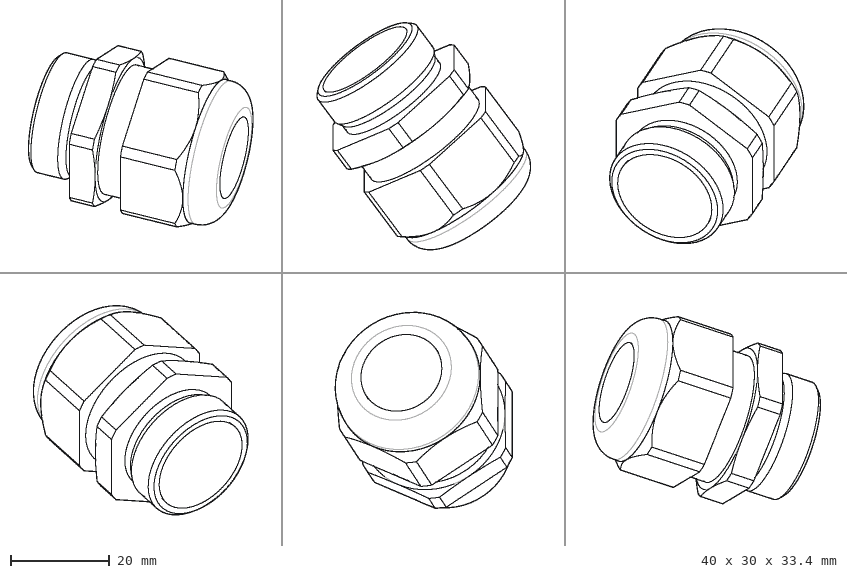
import cadquery as cq
import math


length = 40.0
groove_start = 6.6
groove_floor_start = 8.1
body_nut_start = 10.0
body_nut_end = 15.55
cap_nut_start = 21.0
cap_nut_end = 34.4
dome_start = 35.5

thread_radius = 25.0 / 2
groove_radius = 11.7
neck_radius = 13.5
cap_radius = 14.95
bore_front_radius = 10.35
bore_back_radius = 8.5

across_flats = 30.0
corner_radius = 33.4 / 2
thread_chamfer = 0.85
body_nut_bevel = 0.55
cap_nut_bevel = corner_radius - across_flats / 2

dome_radius = length - dome_start


def revolve_about_x(profile):
    """Turn a closed profile, drawn as (x, radius), about the X axis."""
    return profile.close().revolve(360, (0, 0, 0), (1, 0, 0))


def hex_nut(start, end, bevel):
    """Hexagonal nut with rounded corners and a conical bevel on its +X face."""
    corner_to_corner = across_flats / math.cos(math.pi / 6)
    prism = (
        cq.Workplane("YZ", origin=(start, 0, 0))
        .transformed(rotate=(0, 0, 90))
        .polygon(6, corner_to_corner)
        .extrude(end - start)
    )
    envelope = revolve_about_x(
        cq.Workplane("XZ")
        .moveTo(start, 0)
        .lineTo(start, corner_radius)
        .lineTo(end - bevel, corner_radius)
        .lineTo(end, across_flats / 2)
        .lineTo(end, 0)
    )
    return prism.intersect(envelope)


core = revolve_about_x(
    cq.Workplane("XZ")
    .lineTo(0, thread_radius - thread_chamfer)
    .lineTo(thread_chamfer, thread_radius)
    .lineTo(groove_start, thread_radius)
    .lineTo(groove_floor_start, groove_radius)
    .lineTo(body_nut_start, groove_radius)
    .lineTo(body_nut_start, neck_radius)
    .lineTo(cap_nut_start, neck_radius)
    .lineTo(cap_nut_start, cap_radius)
    .lineTo(dome_start, cap_radius)
    .radiusArc((length, cap_radius - dome_radius), dome_radius)
    .lineTo(length, 0)
)

bore = revolve_about_x(
    cq.Workplane("XZ")
    .lineTo(0, bore_front_radius)
    .lineTo(length, bore_back_radius)
    .lineTo(length, 0)
)

body_nut = hex_nut(body_nut_start, body_nut_end, body_nut_bevel)
cap_nut = hex_nut(cap_nut_start, cap_nut_end, cap_nut_bevel)

result = core.union(body_nut).union(cap_nut).cut(bore)